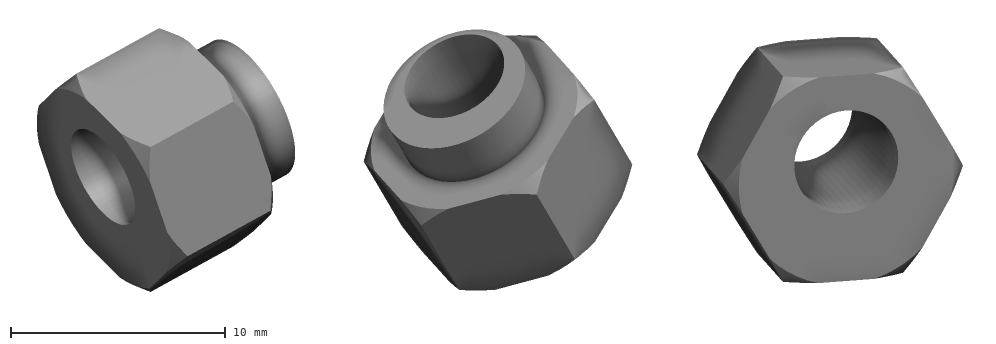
import cadquery as cq

ACROSS_CORNERS = 11.55
TOTAL_LENGTH = 8.5
BOSS_LENGTH = 2.5
HEX_LENGTH = TOTAL_LENGTH - BOSS_LENGTH
CORNER_CHAMFER = 0.6

BOSS_DIAMETER = 7.1
BORE_DIAMETER = 5.0
BORE_OFFSET = 0.8


def chamfered_hexagon():
    """Hexagonal prism with conical chamfers on the corners at both ends."""
    prism = cq.Workplane("XZ").polygon(6, ACROSS_CORNERS).extrude(-HEX_LENGTH)
    envelope = (
        cq.Workplane("XZ")
        .circle(ACROSS_CORNERS / 2)
        .extrude(-HEX_LENGTH)
        .edges("%CIRCLE")
        .chamfer(CORNER_CHAMFER)
    )
    return prism.intersect(envelope)


def cylinder_along_y(diameter, length, start_y=0, center_z=0):
    """Cylinder running from start_y toward +Y."""
    return (
        cq.Workplane("XZ", origin=(0, start_y, center_z))
        .circle(diameter / 2)
        .extrude(-length)
    )


boss = cylinder_along_y(BOSS_DIAMETER, BOSS_LENGTH, start_y=HEX_LENGTH)
bore = cylinder_along_y(BORE_DIAMETER, TOTAL_LENGTH, center_z=BORE_OFFSET)

result = chamfered_hexagon().union(boss).cut(bore)